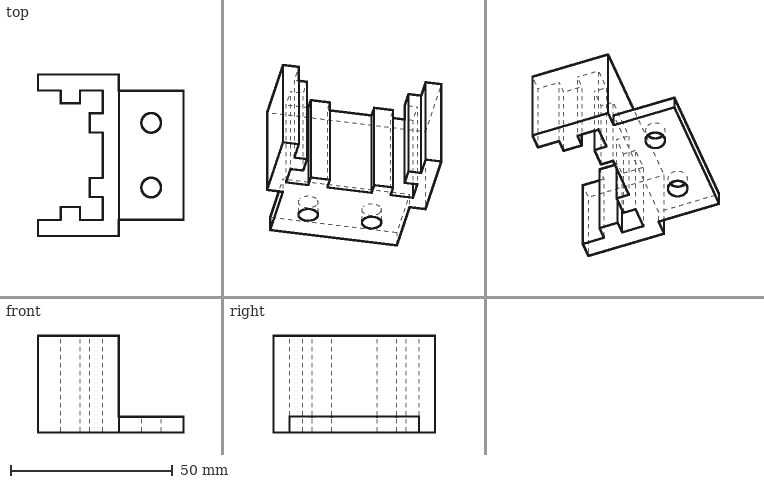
import cadquery as cq

CHANNEL_DEPTH = 25.0
CHANNEL_WIDTH = 50.0
CHANNEL_HEIGHT = 30.0
WALL = 5.0

RIB_WIDTH = 6.0
RIB_HEIGHT = 4.0
WEB_RIB_SPACING = 20.0

PLATE_LENGTH = 20.0
HOLE_DIAMETER = 6.0
HOLE_SPACING = 20.0

CAVITY_DEPTH = CHANNEL_DEPTH - WALL
CAVITY_WIDTH = CHANNEL_WIDTH - 2 * WALL
PLATE_WIDTH = CAVITY_WIDTH
SIDE_RIB_X = CAVITY_DEPTH / 2
SIDE_RIB_Y = (CAVITY_WIDTH - RIB_HEIGHT) / 2
WEB_RIB_X = CAVITY_DEPTH - RIB_HEIGHT / 2
WEB_RIB_Y = WEB_RIB_SPACING / 2
HOLE_X = CHANNEL_DEPTH + PLATE_LENGTH / 2
HOLE_Y = HOLE_SPACING / 2


def upright_block(center_x, center_y, size_x, size_y, height):
    """Rectangular block standing on the base plane Z = 0."""
    return cq.Workplane("XY").center(center_x, center_y).rect(size_x, size_y).extrude(height)


def make_channel():
    """U-shaped channel, open towards -X and through its full height."""
    outer = upright_block(CHANNEL_DEPTH / 2, 0, CHANNEL_DEPTH, CHANNEL_WIDTH, CHANNEL_HEIGHT)
    cavity = upright_block(CAVITY_DEPTH / 2, 0, CAVITY_DEPTH, CAVITY_WIDTH, CHANNEL_HEIGHT)
    return outer.cut(cavity)


def add_ribs(body):
    """Full-height ribs: one on each side wall and a pair on the web."""
    for side in (-1, 1):
        side_rib = upright_block(SIDE_RIB_X, side * SIDE_RIB_Y, RIB_WIDTH, RIB_HEIGHT, CHANNEL_HEIGHT)
        web_rib = upright_block(WEB_RIB_X, side * WEB_RIB_Y, RIB_HEIGHT, RIB_WIDTH, CHANNEL_HEIGHT)
        body = body.union(side_rib).union(web_rib)
    return body


def make_mounting_plate():
    """Flat plate behind the web with two through holes."""
    plate = upright_block(HOLE_X, 0, PLATE_LENGTH, PLATE_WIDTH, WALL)
    holes = (
        cq.Workplane("XY")
        .pushPoints([(HOLE_X, -HOLE_Y), (HOLE_X, HOLE_Y)])
        .circle(HOLE_DIAMETER / 2)
        .extrude(WALL)
    )
    return plate.cut(holes)


result = add_ribs(make_channel()).union(make_mounting_plate())